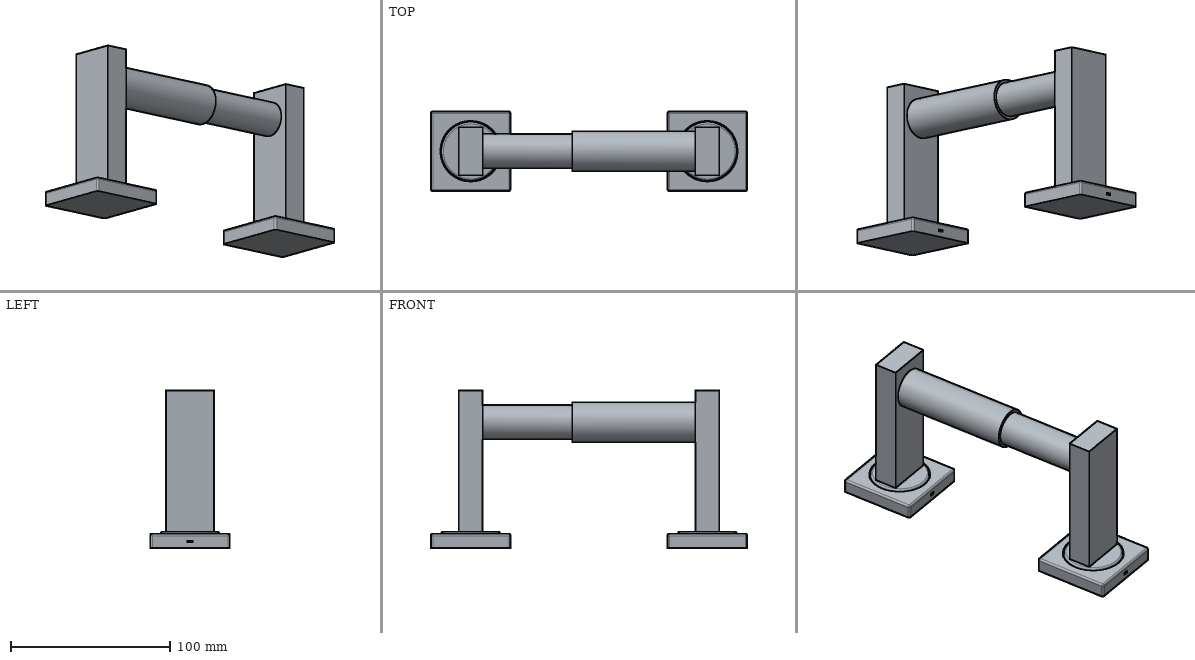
import cadquery as cq

total_length = 198.6
total_height = 99.1

plate_side = 50.0
plate_height = 9.1
plate_fillet = 1.25
slot_width = 3.2
slot_height = 1.2
slot_depth = 0.2
slot_center_z = 4.2

collar_diameter = 37.0
collar_clearance = 0.5
collar_rise = 1.2
recess_depth = 2.0

post_thickness = 15.0
post_width = 30.4

roller_axis_z = 79.0
rod_diameter = 21.6
sleeve_diameter = 25.2
sleeve_length = 77.3

stand_x = (total_length - plate_side) / 2
collar_height = recess_depth + collar_rise
collar_top_z = plate_height + collar_rise
recess_diameter = collar_diameter + 2 * collar_clearance
post_height = total_height - collar_top_z
roller_end_x = stand_x - post_thickness / 2
sleeve_start_x = roller_end_x - sleeve_length
rod_length = sleeve_start_x + roller_end_x


def make_plate(center_x):
    """Square plate with rounded edges, a round recess on top and a shallow slot in its -X side."""
    plate = (
        cq.Workplane("XY")
        .box(plate_side, plate_side, plate_height, centered=(True, True, False))
        .edges("|Z or >Z")
        .fillet(plate_fillet)
        .faces(">Z")
        .workplane()
        .hole(recess_diameter, recess_depth)
    )
    slot = (
        cq.Workplane("XY")
        .box(slot_depth, slot_width, slot_height, centered=(False, True, True))
        .translate((-plate_side / 2, 0, slot_center_z))
    )
    return plate.cut(slot).translate((center_x, 0, 0))


def make_collar(center_x):
    """Disc with a rounded rim, seated in the plate recess with a small gap around it."""
    return (
        cq.Workplane("XY")
        .circle(collar_diameter / 2)
        .extrude(collar_height)
        .edges(">Z")
        .fillet(collar_rise)
        .translate((center_x, 0, plate_height - recess_depth))
    )


def make_post(center_x):
    """Plain rectangular upright standing on the collar."""
    return (
        cq.Workplane("XY")
        .box(post_thickness, post_width, post_height, centered=(True, True, False))
        .translate((center_x, 0, collar_top_z))
    )


def make_roller_section(start_x, length, diameter):
    """Cylinder along X on the roller axis."""
    return (
        cq.Workplane("YZ")
        .circle(diameter / 2)
        .extrude(length)
        .translate((start_x, 0, roller_axis_z))
    )


stands = []
for center_x in (-stand_x, stand_x):
    stands.append(make_plate(center_x).val())
    stands.append(make_collar(center_x).val())
    stands.append(make_post(center_x).val())

rod = make_roller_section(-roller_end_x, rod_length, rod_diameter)
sleeve = make_roller_section(sleeve_start_x, sleeve_length, sleeve_diameter)

result = cq.Compound.makeCompound([*stands, rod.val(), sleeve.val()])